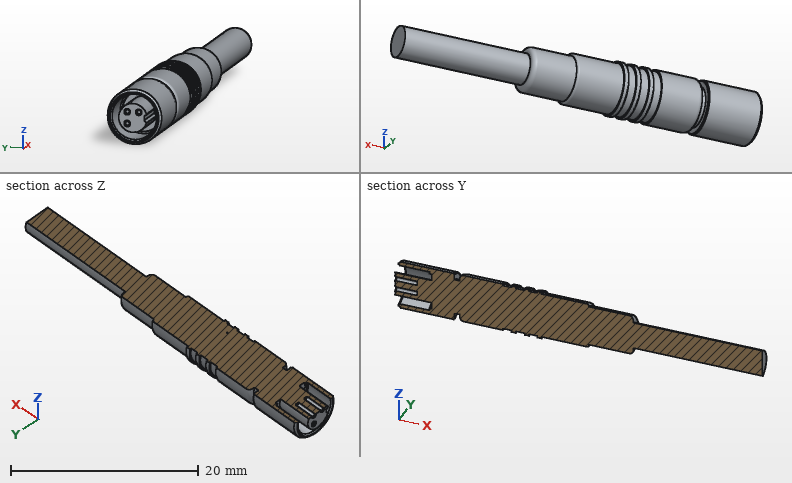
import cadquery as cq

total_length = 42.5
sleeve_start = 0.42
sleeve_end = 6.93
body_start = 7.5
body_end = 12.5
ring_starts = (13.47, 15.0, 16.45)
ring_width = 0.5
grip_end = 22.45
boot_end = 27.6

outer_radius = 2.995
neck_radius = 2.25
grip_radius = 2.8
boot_radius = 2.5
cable_radius = 1.75

sleeve_front_chamfer = 0.25
sleeve_rear_chamfer = 0.13
round_radius = 0.5
grip_round_radius = 0.25

bore_radius = 2.45
floor_recess_radius = 2.25
mouth_chamfer = 0.15
floor_recess_depth = 0.25
socket_floor = 4.0
insert_radius = 1.57
key_floor_width = 0.42
key_mouth_width = 0.95
key_floor_distance = 1.25
key_mouth_distance = 1.5
contact_offset = 0.65
contact_radius = 0.2
contact_chamfer = 0.13
contact_depth = 2.55


def cylinder(start, end, radius):
    """Solid cylinder on the X axis between two axial positions."""
    return cq.Workplane("YZ", origin=(start, 0, 0)).circle(radius).extrude(end - start)


def entry_cone(start, hole_radius, chamfer):
    """Cutter for a 45 degree bevel where a hole opens at an axial position."""
    cone = cq.Solid.makeCone(
        hole_radius + chamfer, hole_radius, chamfer, cq.Vector(start, 0, 0), cq.Vector(1, 0, 0)
    )
    return cq.Workplane(cone)


def make_sleeve():
    """Coupling sleeve, bevelled at both ends, with an open stepped socket."""
    sleeve = cylinder(sleeve_start, sleeve_end, outer_radius)
    sleeve = sleeve.faces("<X").chamfer(sleeve_front_chamfer)
    sleeve = sleeve.faces(">X").chamfer(sleeve_rear_chamfer)
    bore = cylinder(sleeve_start, socket_floor, bore_radius)
    floor_recess = cylinder(socket_floor, socket_floor + floor_recess_depth, floor_recess_radius)
    mouth = entry_cone(sleeve_start, bore_radius, mouth_chamfer)
    return sleeve.cut(bore).cut(floor_recess).cut(mouth)


def make_insert():
    """Contact carrier with a flared keyway on its -Y side and three contact holes."""
    insert = cylinder(0, sleeve_end, insert_radius)
    flare = (key_mouth_width - key_floor_width) / (key_mouth_distance - key_floor_distance)
    cut_width = key_floor_width + flare * (insert_radius - key_floor_distance)
    keyway = (
        cq.Workplane("YZ")
        .moveTo(-key_floor_distance, -key_floor_width / 2)
        .lineTo(-key_floor_distance, key_floor_width / 2)
        .lineTo(-insert_radius, cut_width / 2)
        .lineTo(-insert_radius, -cut_width / 2)
        .close()
        .extrude(socket_floor + floor_recess_depth)
    )
    insert = insert.cut(keyway)
    contact_places = [
        (contact_offset, contact_offset),
        (-contact_offset, contact_offset),
        (contact_offset, -contact_offset),
    ]
    hole = cylinder(0, contact_depth, contact_radius)
    hole = hole.union(entry_cone(0, contact_radius, contact_chamfer))
    for y, z in contact_places:
        insert = insert.cut(hole.translate((0, y, z)))
    return insert


def make_body():
    """Moulded body: rounded collar, ringed grip and narrower boot."""
    collar = cylinder(body_start, body_end, outer_radius).faces("<X").edges().fillet(round_radius)
    grip = cylinder(body_end, grip_end, grip_radius).faces(">X").edges().fillet(grip_round_radius)
    boot = cylinder(body_end, boot_end, boot_radius).faces(">X").edges().fillet(round_radius)
    body = collar.union(grip).union(boot)
    for start in ring_starts:
        body = body.union(cylinder(start, start + ring_width, outer_radius))
    return body


neck = cylinder(sleeve_end, body_start, neck_radius)
cable = cylinder(boot_end, total_length, cable_radius)
result = make_sleeve().union(make_insert()).union(neck).union(make_body()).union(cable)